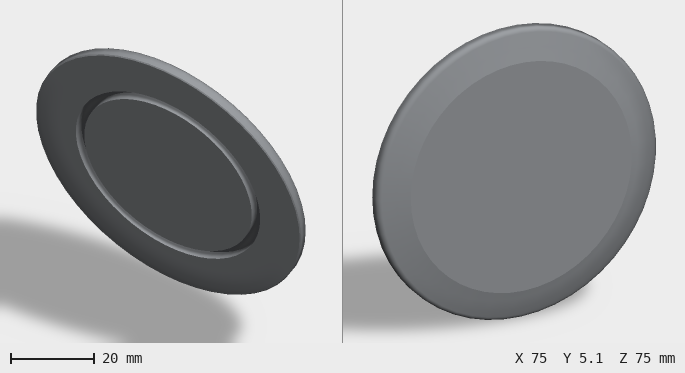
import cadquery as cq
import math

outer_radius = 37.5
thickness = 5.1
front_chamfer = 0.25
rim_height = 1.95
shoulder_radius = 1.35
back_slope = math.radians(15)

groove_outer_radius = 26.1
groove_inner_radius = 23.7
groove_depth = 2.5


def shoulder_point(angle):
    """Point on the shoulder arc, with the angle measured from the radial direction."""
    radius = outer_radius - shoulder_radius * (1 - math.cos(angle))
    height = rim_height + shoulder_radius * math.sin(angle)
    return radius, height


def make_disc():
    """Revolve the disc: chamfered rim, rounded shoulder, conical back and flat top."""
    shoulder_sweep = math.pi / 2 - back_slope
    shoulder_end = shoulder_point(shoulder_sweep)
    flat_radius = shoulder_end[0] - (thickness - shoulder_end[1]) / math.tan(back_slope)
    return (
        cq.Workplane("XY")
        .moveTo(0, 0)
        .lineTo(outer_radius - front_chamfer, 0)
        .lineTo(outer_radius, front_chamfer)
        .lineTo(outer_radius, rim_height)
        .threePointArc(shoulder_point(shoulder_sweep / 2), shoulder_end)
        .lineTo(flat_radius, thickness)
        .lineTo(0, thickness)
        .close()
        .revolve(360, (0, 0, 0), (0, 1, 0))
    )


def make_groove():
    """Ring removed from the front face; the XZ workplane extrudes toward -Y."""
    return (
        cq.Workplane("XZ")
        .circle(groove_outer_radius)
        .circle(groove_inner_radius)
        .extrude(-groove_depth)
    )


result = make_disc().cut(make_groove())